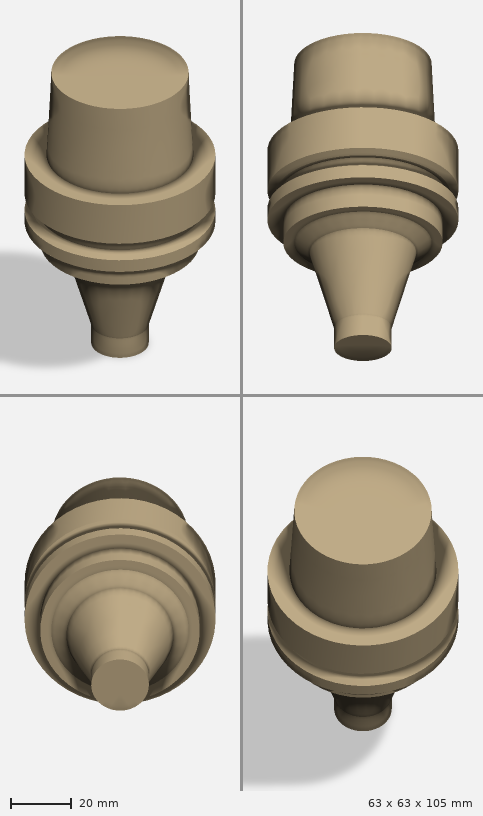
import cadquery as cq

tip_top = 7.6
nozzle_top = 35.4
shoulder_top = 39.0
collar_top = 47.1
flange_top = 73.1
total_height = 105.0

tip_diameter = 19.0
nozzle_top_diameter = 35.4
shoulder_top_diameter = 45.4
collar_diameter = 52.6
flange_diameter = 63.0
groove_diameter = 55.0
taper_base_diameter = 48.5
taper_top_diameter = 45.4

groove_bottom = 53.1
groove_top = 56.6
groove_chamfer_height = 1.5
groove_chamfer_width = 2.5
chamfer_radius = flange_diameter / 2 - groove_chamfer_width

profile = [
    (0, 0),
    (tip_diameter / 2, 0),
    (tip_diameter / 2, tip_top),
    (nozzle_top_diameter / 2, nozzle_top),
    (shoulder_top_diameter / 2, shoulder_top),
    (collar_diameter / 2, shoulder_top),
    (collar_diameter / 2, collar_top),
    (flange_diameter / 2, collar_top),
    (flange_diameter / 2, groove_bottom - groove_chamfer_height),
    (chamfer_radius, groove_bottom),
    (groove_diameter / 2, groove_bottom),
    (groove_diameter / 2, groove_top),
    (chamfer_radius, groove_top),
    (flange_diameter / 2, groove_top + groove_chamfer_height),
    (flange_diameter / 2, flange_top),
    (taper_base_diameter / 2, flange_top),
    (taper_top_diameter / 2, total_height),
    (0, total_height),
]

result = cq.Workplane("XZ").polyline(profile).close().revolve(360, (0, 0, 0), (0, 1, 0))